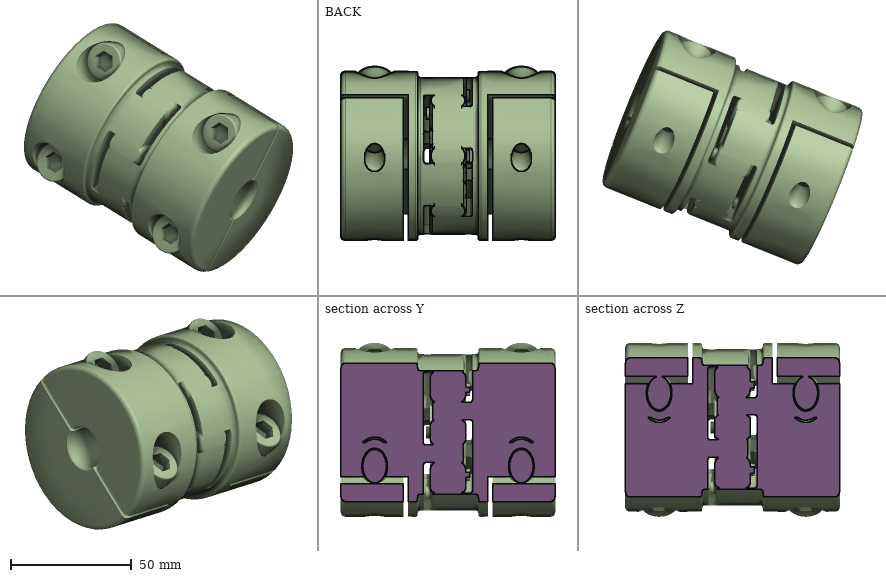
import cadquery as cq
import math


length = 89.0
hub_diameter = 70.0
jaw_diameter = 65.0
hub_bore = 18.0
bore_chamfer = 0.5
end_rounding = 2.0
shoulder_rounding = 1.0
shoulder_x = 12.55
hub_end_x = length / 2

jaw_root_x = 10.15
jaw_reach = 6.5
neck_blank_diameter = jaw_diameter + 2 * shoulder_rounding
jaw_inner_diameter = 40.05
jaws_per_hub = 4
jaw_root_fillet = 1.0
left_jaw_angle = 22.5
right_jaw_angle = left_jaw_angle + 180 / jaws_per_hub

leg_count = 2 * jaws_per_hub
leg_pitch = 360 / leg_count
leg_width = 10.4
leg_tip_center = 28.3
leg_rounding = 2.5
spider_press = 0.1
spider_half_thickness = 7.5
spider_bore = 14.5
button_diameter = 5.0
button_height = 1.6
button_radius = 24.9

split_angle = 45.0
split_width = 2.0
relief_inner_x = 16.55

screw_x = 30.4
screw_offset = 23.9
seat_height = 11.0
head_diameter = 16.0
head_height = 10.0
head_rounding = 0.8
recess_diameter = 17.0
shank_diameter = 10.0
clearance_diameter = 10.4
thread_core_diameter = 8.4
thread_end = -17.8
socket_flats = 8.0
socket_depth = 5.2
socket_tip_angle = 120.0


def disc(diameter, x_start, x_end):
    """Solid cylinder on the X axis."""
    return cq.Workplane("YZ").workplane(offset=x_start).circle(diameter / 2).extrude(x_end - x_start)


def turn(body, angle):
    """Rotate a body about the X axis."""
    return body.rotate((0, 0, 0), (1, 0, 0), angle)


def upright_cylinder(diameter, z_start, z_end, y):
    """Cylinder parallel to a left clamp screw, before the hub is turned to the split angle."""
    profile = cq.Workplane("XY").workplane(offset=z_start).center(-screw_x, y).circle(diameter / 2)
    return profile.extrude(z_end - z_start)


def spider_leg():
    """One radial leg: parallel flanks, half-round tip and rounded end edges."""
    leg = (
        cq.Workplane("YZ")
        .workplane(offset=-spider_half_thickness)
        .center(leg_tip_center / 2, 0)
        .slot2D(leg_tip_center + leg_width, leg_width)
        .extrude(2 * spider_half_thickness)
    )
    return leg.faces("<X or >X").edges().fillet(leg_rounding)


def leg_ring():
    """All spider legs, evenly spaced round the axis."""
    leg = spider_leg()
    ring = leg
    for i in range(1, leg_count):
        ring = ring.union(turn(leg, i * leg_pitch))
    return ring


def socket(top, y):
    """Hexagon socket whose floor is a shallow drill cone."""
    corner_radius = socket_flats / math.sqrt(3)
    cone_height = corner_radius / math.tan(math.radians(socket_tip_angle / 2))
    floor = top - socket_depth
    hexagon = (
        cq.Workplane("XY")
        .workplane(offset=floor - cone_height)
        .center(-screw_x, y)
        .polygon(6, 2 * corner_radius)
        .extrude(socket_depth + cone_height)
    )
    drill = (
        cq.Workplane("XZ", origin=(-screw_x, y, floor))
        .polyline([(0, -cone_height), (corner_radius, 0), (corner_radius, socket_depth), (0, socket_depth)])
        .close()
        .revolve(360, (0, 0, 0), (0, 1, 0))
    )
    return hexagon.intersect(drill)


def screw(y):
    """Socket head cap screw."""
    head_top = seat_height + head_height
    head = upright_cylinder(head_diameter, seat_height, head_top, y).faces(">Z").edges().fillet(head_rounding)
    return head.union(upright_cylinder(shank_diameter, thread_end, seat_height, y)).cut(socket(head_top, y))


def clamp():
    """Left clamping hub without its neck and jaws, with both screws fitted."""
    body = disc(hub_diameter, -hub_end_x, -shoulder_x)
    body = body.faces("<X").edges().fillet(end_rounding).faces(">X").edges().fillet(shoulder_rounding)
    body = body.cut(disc(hub_bore, -hub_end_x, -shoulder_x))
    body = body.faces("<X").edges(cq.selectors.RadiusNthSelector(0)).chamfer(bore_chamfer)

    relief_outer_x = relief_inner_x + split_width
    split_length = hub_end_x - relief_inner_x
    split_x = -(hub_end_x + relief_inner_x) / 2
    split = cq.Workplane("XY").box(split_length, hub_diameter, split_width).translate((split_x, 0, 0))
    relief_height = (hub_diameter + split_width) / 2
    relief = (
        cq.Workplane("XY")
        .box(split_width, hub_diameter, relief_height)
        .translate((-(relief_inner_x + relief_outer_x) / 2, 0, (split_width - relief_height) / 2))
    )
    body = body.cut(split).cut(relief)

    for y in (-screw_offset, screw_offset):
        body = body.cut(upright_cylinder(recess_diameter, seat_height, hub_diameter / 2, y))
        body = body.cut(upright_cylinder(clearance_diameter, 0, seat_height, y))
        body = body.cut(upright_cylinder(thread_core_diameter, -hub_diameter / 2, 0, y))
        body = body.union(screw(y))
    return turn(body, split_angle)


def gap():
    """Space between two neighbouring jaws of the left hub, centred on +Y, with its floor edges rounded."""
    half_pitch = math.radians(leg_pitch / 2)
    half_width = leg_width / 2 - spider_press

    def along_leg(distance, offset):
        y = distance * math.cos(half_pitch) - offset * math.sin(half_pitch)
        z = distance * math.sin(half_pitch) + offset * math.cos(half_pitch)
        return y, z

    def mirrored(point):
        return point[0], -point[1]

    diagonal = half_width * math.sqrt(0.5)
    flank_start = along_leg(0, half_width)
    flank_end = along_leg(leg_tip_center, half_width)
    tip_middle = along_leg(leg_tip_center + diagonal, diagonal)
    tip_end = along_leg(leg_tip_center + half_width, 0)
    outline = (
        cq.Workplane("YZ")
        .workplane(offset=-jaw_root_x)
        .moveTo(*mirrored(flank_start))
        .lineTo(*mirrored(flank_end))
        .threePointArc(mirrored(tip_middle), mirrored(tip_end))
        .threePointArc((leg_tip_center + half_width, 0), tip_end)
        .threePointArc(tip_middle, flank_end)
        .lineTo(*flank_start)
        .close()
    )
    return outline.extrude(2 * jaw_root_x).faces("<X").edges().fillet(jaw_root_fillet)


def jaws(first_angle):
    """Root disc and jaws of the left hub, before the neck groove is turned."""
    body = disc(neck_blank_diameter, -shoulder_x, jaw_reach)
    body = body.cut(disc(jaw_inner_diameter, -jaw_root_x, jaw_reach))
    body = body.cut(disc(hub_bore, -shoulder_x, -jaw_root_x))
    gap_pitch = 360 / jaws_per_hub
    for i in range(jaws_per_hub):
        body = body.cut(turn(gap(), first_angle + (i + 0.5) * gap_pitch))
    return body


def spider():
    """Spider with rounded legs and spacer buttons on alternate sides."""
    core = disc(jaw_inner_diameter + 2 * spider_press, -spider_half_thickness, spider_half_thickness)
    body = leg_ring().union(core)
    for i in range(leg_count):
        side = -1 if i % 2 == 0 else 1
        button = (
            cq.Workplane("YZ")
            .center(button_radius, 0)
            .circle(button_diameter / 2)
            .extrude(side * (spider_half_thickness + button_height))
        )
        body = body.union(turn(button, i * leg_pitch))
    return body.cut(disc(spider_bore, -jaw_root_x, jaw_root_x))


def neck_envelope():
    """Turned outside of the neck: straight, flaring in a quarter round into each shoulder."""
    neck_radius = jaw_diameter / 2
    shoulder_radius = neck_blank_diameter / 2
    straight_x = shoulder_x - shoulder_rounding
    arc_shift = shoulder_rounding * (1 - math.sqrt(0.5))
    return (
        cq.Workplane("XY")
        .moveTo(-shoulder_x, 0)
        .lineTo(-shoulder_x, shoulder_radius)
        .threePointArc((-shoulder_x + arc_shift, neck_radius + arc_shift), (-straight_x, neck_radius))
        .lineTo(straight_x, neck_radius)
        .threePointArc((shoulder_x - arc_shift, neck_radius + arc_shift), (shoulder_x, shoulder_radius))
        .lineTo(shoulder_x, 0)
        .close()
        .revolve(360, (0, 0, 0), (1, 0, 0))
    )


left_jaws = jaws(left_jaw_angle)
right_jaws = jaws(right_jaw_angle).mirror("YZ")
middle = left_jaws.union(spider()).union(right_jaws).intersect(neck_envelope())
left_clamp = clamp()
result = left_clamp.union(middle).union(left_clamp.mirror("YZ"))